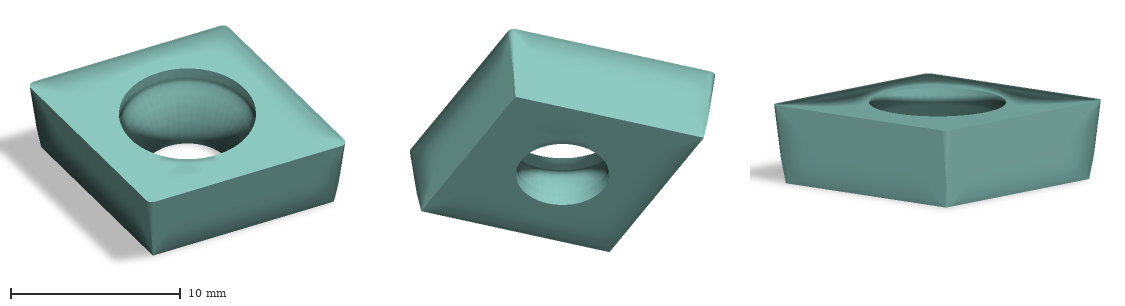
import cadquery as cq
import math

length = 14.98
thickness = 4.76
corner_angle = math.radians(80)
corner_radius = 0.4
clearance_angle = 7.0

hole_radius = 5.5 / 2
entry_radius = 4.05
entry_blend_radius = 0.25
seat_arc_radius = 4.8
seat_depth = 4.22

corner_setback = corner_radius / math.tan(corner_angle / 2) - corner_radius
side = (length + 2 * corner_setback) / (1 + math.cos(corner_angle))
half_width = side * math.sin(corner_angle) / 2
lean = side * math.cos(corner_angle) / 2
corners = [
    (-side / 2 - lean, -half_width),
    (side / 2 - lean, -half_width),
    (side / 2 + lean, half_width),
    (-side / 2 + lean, half_width),
]


def make_body():
    """Tapered block whose corner rounding shrinks with depth and fades into a sharp edge."""
    outline = cq.Sketch().polygon(corners + corners[:1]).vertices().fillet(corner_radius)
    return (
        cq.Workplane("XY").workplane(offset=thickness)
        .placeSketch(outline)
        .extrude(-thickness, taper=clearance_angle)
    )


def make_hole_cutter():
    """Revolved hole: the seat arc is tangent to the bore and to the concave entry blend."""
    seat_z = thickness - seat_depth
    seat_center_radius = hole_radius + seat_arc_radius
    blend_center_radius = entry_radius - entry_blend_radius
    sweep = math.acos((seat_center_radius - blend_center_radius) / (seat_arc_radius + entry_blend_radius))
    blend_z = seat_z + (seat_arc_radius + entry_blend_radius) * math.sin(sweep)

    def seat_point(angle):
        return (
            seat_center_radius - seat_arc_radius * math.cos(angle),
            seat_z + seat_arc_radius * math.sin(angle),
        )

    def blend_point(angle):
        return (
            blend_center_radius + entry_blend_radius * math.cos(angle),
            blend_z - entry_blend_radius * math.sin(angle),
        )

    return (
        cq.Workplane("XZ")
        .lineTo(hole_radius, 0)
        .lineTo(hole_radius, seat_z)
        .threePointArc(seat_point(sweep / 2), seat_point(sweep))
        .threePointArc(blend_point(sweep / 2), blend_point(0))
        .lineTo(entry_radius, thickness)
        .lineTo(0, thickness)
        .close()
        .revolve(360, (0, 0, 0), (0, 1, 0))
    )


result = make_body().cut(make_hole_cutter())